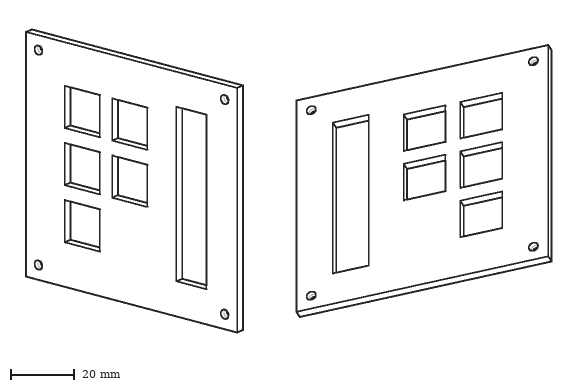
import cadquery as cq

plate_width = 84.4
plate_thickness = 3.0
plate_height = 81.4

hole_diameter = 3.0
hole_inset = 5.0

key_size = 14.0
key_pitch = 19.0
keys_per_column = [3, 2]
first_key_left = 15.45
first_key_top = 14.5

window_width = 12.0
window_height = 58.0
window_left = 60.2
window_top = 11.65


def from_top_left(left, top, width, height):
    """Centre of a rectangle given its distances from the plate's left and top edges."""
    x = -plate_width / 2 + left + width / 2
    z = plate_height / 2 - top - height / 2
    return x, z


def at_centers(centers):
    """Workplane along the plate's mid-plane, with the given centres selected."""
    return cq.Workplane("XZ").pushPoints(centers)


def through_cutter(sketch):
    """Solid long enough to pass through the plate on both sides."""
    return sketch.extrude(plate_thickness, both=True)


key_centers = []
for column, key_count in enumerate(keys_per_column):
    for row in range(key_count):
        left = first_key_left + column * key_pitch
        top = first_key_top + row * key_pitch
        key_centers.append(from_top_left(left, top, key_size, key_size))

window_center = from_top_left(window_left, window_top, window_width, window_height)

hole_x = plate_width / 2 - hole_inset
hole_z = plate_height / 2 - hole_inset
hole_centers = [(sx * hole_x, sz * hole_z) for sx in (-1, 1) for sz in (-1, 1)]

plate = cq.Workplane("XY").box(plate_width, plate_thickness, plate_height)
keys = through_cutter(at_centers(key_centers).rect(key_size, key_size))
window = through_cutter(at_centers([window_center]).rect(window_width, window_height))
holes = through_cutter(at_centers(hole_centers).circle(hole_diameter / 2))

result = plate.cut(keys).cut(window).cut(holes)